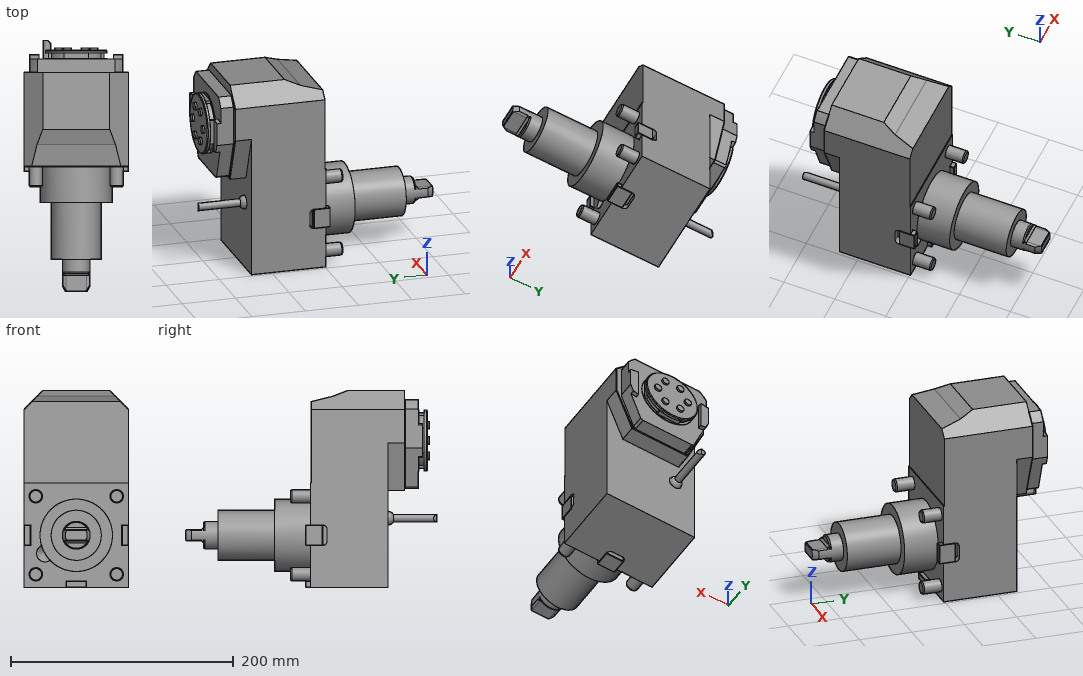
import cadquery as cq
import math


HALF_WIDTH = 47.0
TOP_Z = 130.0
FRONT_RECESS = 0.7
SLOPE_FRONT_Z = 120.0
SLOPE_BREAK_Y = 20.2
SLOPE_BREAK_Z = 124.8
SLOPE_START_Y = 33.6
LOWER_BACK_Y = 69.7
UPPER_BACK_Y = 84.6
CORNER_CHAMFER = 17.0
REAR_BLOCK_BOTTOM_Z = 40.0
REAR_TAPER_Z = 82.6

GASKET_INSET = 0.5
GASKET_BACK_Y = 85.2

COVER_HALF_WIDTH = 41.8
COVER_BACK_Y = 96.85
COVER_TOP_Z = 121.7
COVER_TAPER_Z = 78.2
COVER_BOTTOM_Z = 41.8
COVER_BOTTOM_HALF_WIDTH = 28.0
COVER_CORNER_DIAMETER = 101.0
TAB_BACK_Y = 100.7
TAB_INNER_X = 33.3
TAB_INNER_HALF_HEIGHT = 15.3
TAB_OUTER_HALF_HEIGHT = 14.0

CONNECTOR_Z = 85.0
CONNECTOR_DIAMETER = 50.0
CONNECTOR_PAD_WIDTH = 22.4
RIM_DIAMETER = 55.0
SEAT_RING_THICKNESS = 0.5
RIM_FRONT_Y = 102.0
RIM_BACK_Y = 105.0
RIM_CHAMFER = 0.8
NUB_COUNT = 6
NUB_DIAMETER = 7.0
NUB_CIRCLE_RADIUS = 15.9
NUB_BACK_Y = 106.7

CABLE_X = -26.2
CABLE_Z = 15.3
CABLE_DIAMETER = 7.0
CABLE_END_Y = 113.57
CABLE_BEVEL = 3.0
GROMMET_DIAMETER = 12.73
GROMMET_CENTRE_Y = 69.2

BOLT_X = 36.3
BOLT_Z = 35.0
BOLT_DIAMETER = 12.0
BOLT_LENGTH = 17.8
BOLT_CHAMFER_AXIAL = 1.2
BOLT_CHAMFER_RADIAL = 0.8
KEY_WIDTH = 18.4
KEY_THICKNESS = 6.2
KEY_FRONT_Y = -4.2
KEY_BACK_Y = 11.2
KEY_CHAMFER = 0.5
KEY_SLOT_BACK_Y = 15.0
KEY_SLOT_RADIUS = 4.0
CONE_X = -28.0
CONE_Z = -16.3
CONE_RADIUS = 7.6
CONE_DEPTH = 7.6

FLANGE_DIAMETER = 65.0
FLANGE_LENGTH = 32.0
SLEEVE_DIAMETER = 45.0
SLEEVE_END = 83.0
SPIGOT_DIAMETER = 25.0
SPIGOT_FACE_DIAMETER = 23.2
SPIGOT_END = 95.6
SPIGOT_CHAMFER_AXIAL = 1.3
TONGUE_TIP = 111.9
TONGUE_THICKNESS = 10.0
TONGUE_ROOT_FLARE = 2.0
TONGUE_TIP_CHAMFER = 0.7
TONGUE_TAPER_LENGTH = 5.3
TONGUE_TIP_RADIUS = 9.8
TONGUE_FLAT_HALF_WIDTH = 9.3
TONGUE_EDGE_DROP = 0.7


def prism_y(points, y_start, y_end):
    """Extrude an XZ polygon between two Y positions."""
    outline = cq.Workplane("XZ", origin=(0, y_start, 0)).polyline(points).close()
    return outline.extrude(y_start - y_end)


def cylinder_y(diameter, y_start, y_end, x=0.0, z=0.0):
    """Cylinder along Y between two Y positions."""
    base = cq.Workplane("XZ", origin=(x, y_start, z)).circle(diameter / 2)
    return base.extrude(y_start - y_end)


def revolve_about_y(radius_and_y, x=0.0, z=0.0):
    """Revolve (radius, y) points about a Y-parallel axis."""
    profile = cq.Workplane("XY", origin=(x, 0, z)).polyline(radius_and_y).close()
    return profile.revolve(360, (0, 0, 0), (0, 1, 0))


def box_between(corner_a, corner_b):
    """Axis-aligned box between two opposite corners."""
    sizes = [b - a for a, b in zip(corner_a, corner_b)]
    return cq.Workplane("XY").box(*sizes, centered=False).translate(corner_a)


def make_housing():
    side_outline = [
        (0, -HALF_WIDTH),
        (0, HALF_WIDTH),
        (FRONT_RECESS, HALF_WIDTH),
        (FRONT_RECESS, SLOPE_FRONT_Z),
        (SLOPE_BREAK_Y, SLOPE_BREAK_Z),
        (SLOPE_START_Y, TOP_Z),
        (UPPER_BACK_Y, TOP_Z),
        (UPPER_BACK_Y, REAR_BLOCK_BOTTOM_Z),
        (LOWER_BACK_Y, REAR_BLOCK_BOTTOM_Z),
        (LOWER_BACK_Y, -HALF_WIDTH),
    ]
    side = cq.Workplane("YZ").polyline(side_outline).close().extrude(HALF_WIDTH, both=True)

    top_half = HALF_WIDTH - CORNER_CHAMFER
    shoulder_z = TOP_Z - CORNER_CHAMFER
    front_outline = [
        (-HALF_WIDTH, -HALF_WIDTH),
        (HALF_WIDTH, -HALF_WIDTH),
        (HALF_WIDTH, shoulder_z),
        (top_half, TOP_Z),
        (-top_half, TOP_Z),
        (-HALF_WIDTH, shoulder_z),
    ]
    housing = side.intersect(prism_y(front_outline, 0, UPPER_BACK_Y))

    for sign in (-1, 1):
        taper = [
            (sign * HALF_WIDTH, REAR_TAPER_Z),
            (sign * top_half, REAR_BLOCK_BOTTOM_Z),
            (sign * HALF_WIDTH, REAR_BLOCK_BOTTOM_Z),
        ]
        housing = housing.cut(prism_y(taper, LOWER_BACK_Y, UPPER_BACK_Y))
    return housing


def make_gasket():
    """Plate following the housing sides, as tall as the cover."""
    half_width = HALF_WIDTH - GASKET_INSET
    shoulder_z = TOP_Z - CORNER_CHAMFER - GASKET_INSET
    top_half = half_width - (COVER_TOP_Z - shoulder_z)
    bottom_half = half_width - CORNER_CHAMFER
    return prism_y([
        (-top_half, COVER_TOP_Z),
        (top_half, COVER_TOP_Z),
        (half_width, shoulder_z),
        (half_width, REAR_TAPER_Z),
        (bottom_half, COVER_BOTTOM_Z),
        (-bottom_half, COVER_BOTTOM_Z),
        (-half_width, REAR_TAPER_Z),
        (-half_width, shoulder_z),
    ], UPPER_BACK_Y, GASKET_BACK_Y)


def make_cover_blank(back_y):
    """Cover outline extruded from the housing back to the given Y."""
    outline = [
        (-COVER_HALF_WIDTH, COVER_TOP_Z),
        (COVER_HALF_WIDTH, COVER_TOP_Z),
        (COVER_HALF_WIDTH, COVER_TAPER_Z),
        (COVER_BOTTOM_HALF_WIDTH, COVER_BOTTOM_Z),
        (-COVER_BOTTOM_HALF_WIDTH, COVER_BOTTOM_Z),
        (-COVER_HALF_WIDTH, COVER_TAPER_Z),
    ]
    blank = prism_y(outline, UPPER_BACK_Y, back_y)
    return blank.intersect(cylinder_y(COVER_CORNER_DIAMETER, UPPER_BACK_Y, back_y, z=CONNECTOR_Z))


def make_cover():
    cover = make_cover_blank(COVER_BACK_Y)
    tab_limit = make_cover_blank(TAB_BACK_Y)
    for sign in (-1, 1):
        tab_outline = [
            (sign * TAB_INNER_X, CONNECTOR_Z - TAB_INNER_HALF_HEIGHT),
            (sign * COVER_HALF_WIDTH, CONNECTOR_Z - TAB_OUTER_HALF_HEIGHT),
            (sign * COVER_HALF_WIDTH, CONNECTOR_Z + TAB_OUTER_HALF_HEIGHT),
            (sign * TAB_INNER_X, CONNECTOR_Z + TAB_INNER_HALF_HEIGHT),
        ]
        tab = prism_y(tab_outline, UPPER_BACK_Y, TAB_BACK_Y)
        cover = cover.union(tab.intersect(tab_limit))
    return cover


def make_connector():
    rim = cylinder_y(RIM_DIAMETER, RIM_FRONT_Y, RIM_BACK_Y, z=CONNECTOR_Z)
    rim = rim.faces(">Y").chamfer(RIM_CHAMFER)
    connector = cylinder_y(CONNECTOR_DIAMETER, COVER_BACK_Y, RIM_FRONT_Y, z=CONNECTOR_Z).union(rim)
    seat_back_y = COVER_BACK_Y + SEAT_RING_THICKNESS
    connector = connector.union(cylinder_y(RIM_DIAMETER, COVER_BACK_Y, seat_back_y, z=CONNECTOR_Z))

    reach = CONNECTOR_DIAMETER / 2
    half_pad = CONNECTOR_PAD_WIDTH / 2
    for half_x, half_z in ((reach, half_pad), (half_pad, reach)):
        pad = box_between(
            (-half_x, COVER_BACK_Y, CONNECTOR_Z - half_z),
            (half_x, RIM_FRONT_Y, CONNECTOR_Z + half_z),
        )
        connector = connector.union(pad)

    for index in range(NUB_COUNT):
        angle = 2 * math.pi * index / NUB_COUNT
        nub_x = NUB_CIRCLE_RADIUS * math.cos(angle)
        nub_z = CONNECTOR_Z + NUB_CIRCLE_RADIUS * math.sin(angle)
        connector = connector.union(cylinder_y(NUB_DIAMETER, RIM_BACK_Y, NUB_BACK_Y, nub_x, nub_z))
    return connector


def make_cable():
    cable = cylinder_y(CABLE_DIAMETER, GROMMET_CENTRE_Y, CABLE_END_Y, CABLE_X, CABLE_Z)
    edge_x = CABLE_X + CABLE_DIAMETER / 2
    bevel_outline = [
        (edge_x - CABLE_BEVEL, CABLE_END_Y),
        (edge_x, CABLE_END_Y - CABLE_BEVEL),
        (edge_x, CABLE_END_Y),
    ]
    bevel = cq.Workplane("XY", origin=(0, 0, CABLE_Z)).polyline(bevel_outline).close()
    cable = cable.cut(bevel.extrude(CABLE_DIAMETER, both=True))
    grommet = cq.Workplane("XY").sphere(GROMMET_DIAMETER / 2)
    return cable.union(grommet.translate((CABLE_X, GROMMET_CENTRE_Y, CABLE_Z)))


def make_bolt(x, z):
    radius = BOLT_DIAMETER / 2
    return revolve_about_y([
        (0, 0),
        (radius, 0),
        (radius, BOLT_CHAMFER_AXIAL - BOLT_LENGTH),
        (radius - BOLT_CHAMFER_RADIAL, -BOLT_LENGTH),
        (0, -BOLT_LENGTH),
    ], x, z)


def make_key():
    """Key lying against the bottom face of the housing."""
    key = box_between(
        (-KEY_WIDTH / 2, KEY_FRONT_Y, -HALF_WIDTH),
        (KEY_WIDTH / 2, KEY_BACK_Y, KEY_THICKNESS - HALF_WIDTH),
    )
    return key.edges().chamfer(KEY_CHAMFER)


def make_key_slot():
    """Slot for the bottom key, open towards the mounting face."""
    slot = box_between(
        (-KEY_WIDTH / 2, 0, -HALF_WIDTH),
        (KEY_WIDTH / 2, KEY_SLOT_BACK_Y, KEY_THICKNESS - HALF_WIDTH),
    )
    return slot.edges("|Z and >Y").fillet(KEY_SLOT_RADIUS)


def make_shaft():
    spigot_radius = SPIGOT_DIAMETER / 2
    return revolve_about_y([
        (0, 0),
        (FLANGE_DIAMETER / 2, 0),
        (FLANGE_DIAMETER / 2, -FLANGE_LENGTH),
        (SLEEVE_DIAMETER / 2, -FLANGE_LENGTH),
        (SLEEVE_DIAMETER / 2, -SLEEVE_END),
        (spigot_radius, -SLEEVE_END),
        (spigot_radius, SPIGOT_CHAMFER_AXIAL - SPIGOT_END),
        (SPIGOT_FACE_DIAMETER / 2, -SPIGOT_END),
        (0, -SPIGOT_END),
    ])


def make_tongue():
    """Flat drive tongue inside the spigot diameter, bevelled along its edges and at its tip."""
    radius = SPIGOT_DIAMETER / 2
    half = TONGUE_THICKNESS / 2
    tip_half = half - TONGUE_TIP_CHAMFER
    root_half = half + TONGUE_ROOT_FLARE
    root_y = SPIGOT_CHAMFER_AXIAL - SPIGOT_END
    blank = revolve_about_y([
        (0, root_y),
        (radius, root_y),
        (radius, TONGUE_TAPER_LENGTH - TONGUE_TIP),
        (TONGUE_TIP_RADIUS, -TONGUE_TIP),
        (0, -TONGUE_TIP),
    ])

    side_outline = [
        (root_y, -half),
        (root_y, half),
        (TONGUE_TIP_CHAMFER - TONGUE_TIP, half),
        (-TONGUE_TIP, tip_half),
        (-TONGUE_TIP, -tip_half),
        (TONGUE_TIP_CHAMFER - TONGUE_TIP, -half),
    ]
    side = cq.Workplane("YZ").polyline(side_outline).close().extrude(radius, both=True)

    edge_z = half - TONGUE_EDGE_DROP
    edge_x = math.sqrt(radius ** 2 - edge_z ** 2)
    section = prism_y([
        (-radius, -edge_z),
        (-edge_x, -edge_z),
        (-TONGUE_FLAT_HALF_WIDTH, -half),
        (TONGUE_FLAT_HALF_WIDTH, -half),
        (edge_x, -edge_z),
        (radius, -edge_z),
        (radius, edge_z),
        (edge_x, edge_z),
        (TONGUE_FLAT_HALF_WIDTH, half),
        (-TONGUE_FLAT_HALF_WIDTH, half),
        (-edge_x, edge_z),
        (-radius, edge_z),
    ], root_y, -TONGUE_TIP)

    root_outline = [
        (-SPIGOT_END, -root_half),
        (-SPIGOT_END, root_half),
        (-SPIGOT_END - TONGUE_ROOT_FLARE, half),
        (-SPIGOT_END - TONGUE_ROOT_FLARE, -half),
    ]
    root = cq.Workplane("YZ").polyline(root_outline).close().extrude(radius, both=True)

    tongue = blank.intersect(side).intersect(section)
    return tongue.union(root.intersect(blank))


housing = make_housing()

cone = revolve_about_y([(0, 0), (CONE_RADIUS, 0), (0, CONE_DEPTH)], CONE_X, CONE_Z)
housing = housing.cut(cone)

for key_angle in (0, 90, -90):
    slot = make_key_slot().rotate((0, 0, 0), (0, 1, 0), key_angle)
    key = make_key().rotate((0, 0, 0), (0, 1, 0), key_angle)
    housing = housing.cut(slot).union(key)

for bolt_x in (-BOLT_X, BOLT_X):
    for bolt_z in (-BOLT_Z, BOLT_Z):
        housing = housing.union(make_bolt(bolt_x, bolt_z))

result = (
    housing
    .union(make_gasket())
    .union(make_cover())
    .union(make_connector())
    .union(make_cable())
    .union(make_shaft())
    .union(make_tongue())
)